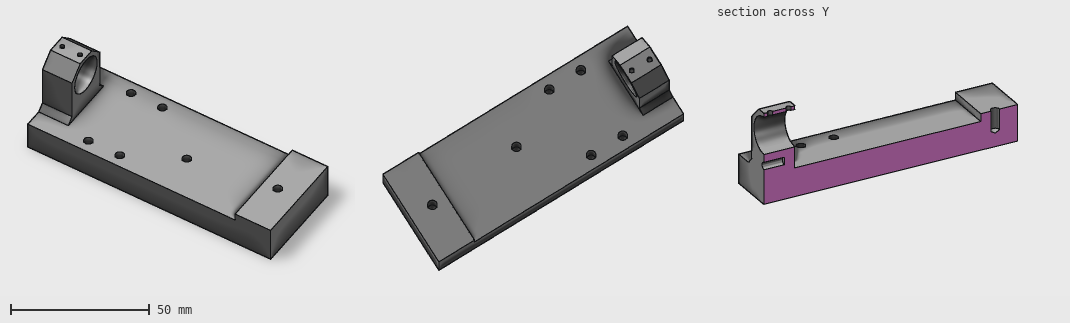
import cadquery as cq
import math

length = 104.1
width = 38.1
base_height = 11.9
step_height = 15.0
step_length = 15.2

post_length = 12.7
post_width = 18.5
post_top = 37.1
top_chamfer = 5.4
foot_chamfer = 2.5
bore_diameter = 15.0
bore_height = 27.9

set_screw_diameter = 1.8
set_screw_spacing = 7.6

end_hole_diameter = 2.8
end_hole_height = 15.6
end_hole_depth = 8.3

plate_hole_diameter = 3.4
plate_hole_depth = 8.3
drill_tip_angle = 118.0
pattern_left = 22.9
pattern_pitch_x = 13.4
pattern_pitch_y = 28.4
middle_hole = (57.6, -2.6)
step_hole_inset = 9.2


def make_base():
    plate = cq.Workplane("XY").box(length, width, base_height, centered=(False, True, False))
    step = (
        cq.Workplane("XY")
        .box(step_length, width, step_height, centered=(False, True, False))
        .translate((length - step_length, 0, 0))
    )
    return plate.union(step)


def make_post():
    half = post_width / 2
    right_side = [
        (half + foot_chamfer, base_height),
        (half, base_height + foot_chamfer),
        (half, post_top - top_chamfer),
        (half - top_chamfer, post_top),
    ]
    left_side = [(-y, z) for y, z in reversed(right_side)]
    foot = [(-half - foot_chamfer, 0), (half + foot_chamfer, 0)]
    return cq.Workplane("YZ").polyline(foot + right_side + left_side).close().extrude(post_length)


def cylinder_along_x(diameter, height, depth):
    return cq.Workplane("YZ").center(0, height).circle(diameter / 2).extrude(depth)


def set_screw_holes():
    middle = post_length / 2
    points = [(middle + side * set_screw_spacing / 2, 0) for side in (-1, 1)]
    return (
        cq.Workplane("XY", origin=(0, 0, bore_height))
        .pushPoints(points)
        .circle(set_screw_diameter / 2)
        .extrude(post_top - bore_height)
    )


def drill(body, x, y, surface):
    """Drill a blind hole with a conical bottom down from the given height."""
    radius = plate_hole_diameter / 2
    tip = radius / math.tan(math.radians(drill_tip_angle / 2))
    cutter = (
        cq.Workplane("XZ")
        .polyline([(0, 0), (radius, 0), (radius, -plate_hole_depth), (0, -plate_hole_depth - tip)])
        .close()
        .revolve(360, (0, 0), (0, 1))
        .translate((x, y, surface))
    )
    return body.cut(cutter)


result = make_base().union(make_post())
result = result.cut(cylinder_along_x(bore_diameter, bore_height, post_length))
result = result.cut(cylinder_along_x(end_hole_diameter, end_hole_height, end_hole_depth))
result = result.cut(set_screw_holes())

for column in (0, 1):
    for side in (-1, 1):
        hole_x = pattern_left + column * pattern_pitch_x
        result = drill(result, hole_x, side * pattern_pitch_y / 2, base_height)
result = drill(result, *middle_hole, base_height)
result = drill(result, length - step_hole_inset, 0, step_height)